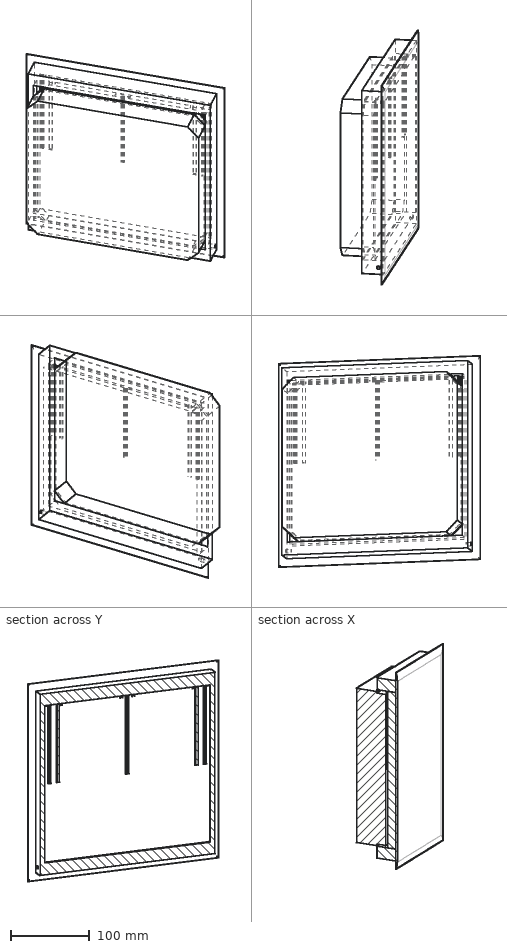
import cadquery as cq


COVER_SIZE = 263.0
COVER_THICKNESS = 3.0
COVER_EDGE = 0.8
RIM_WIDTH = 10.5

FRAME_SIZE = 242.0
FRAME_DEPTH = 27.0
OPENING_WIDTH = 228.0
OPENING_HEIGHT = 208.8

OVERALL_DEPTH = 59.0
HOUSING_TOP_GAP = 1.8
CORNER_CUT = 14.5
NECK_INSET = 2.0

GRILLE_DEPTH = 11.8
NOTCH_WIDTH = 8.2
NOTCH_HEIGHT = 1.0

RIB_HEIGHT = 2.0
RIB_LENGTH = OPENING_HEIGHT / 2
THIN_RIB_WIDTH = 1.3
THIN_RIB_OFFSETS = (1.5, 105.7, 108.5)
WIDE_RIB_WIDTH = 4.0
WIDE_RIB_OFFSET = 95.7

CATCH_WIDTH = 3.7
CATCH_HEIGHT = 2.0
CATCH_OFFSETS = (8.2, 91.8)

PIN_DIAMETER = 4.2
PIN_DEPTH_FROM_COVER = 5.5
PIN_Z = -112.0

GRILLE_FRONT = -GRILLE_DEPTH
RIB_FRONT = GRILLE_FRONT - RIB_HEIGHT
HOUSING_HEIGHT = OPENING_HEIGHT - HOUSING_TOP_GAP
OPENING_TOP = OPENING_HEIGHT / 2
PIN_LENGTH = (FRAME_SIZE - OPENING_WIDTH) / 2


def block(width, height, front, back, z=0.0, x=0.0):
    """Box between the planes Y = front and Y = back, centred on x and z."""
    return cq.Workplane("XY").box(width, back - front, height).translate((x, (front + back) / 2, z))


def rounded_bar():
    """Bar along Z with the cover's cross-section: flat front face, thin edges, rounded rims."""
    half = COVER_SIZE / 2
    flat = half - RIM_WIDTH
    drop = COVER_THICKNESS - COVER_EDGE
    radius = (RIM_WIDTH**2 + drop**2) / (2 * drop)
    return (
        cq.Workplane("XY")
        .moveTo(-half, 0)
        .lineTo(half, 0)
        .lineTo(half, COVER_EDGE)
        .radiusArc((flat, COVER_THICKNESS), -radius)
        .lineTo(-flat, COVER_THICKNESS)
        .radiusArc((-half, COVER_EDGE), -radius)
        .close()
        .extrude(half, both=True)
    )


def make_cover():
    """Square plate where an upright and a lying rounded bar coincide."""
    upright = rounded_bar()
    lying = upright.rotate((0, 0, 0), (0, 1, 0), 90)
    return upright.intersect(lying)


def make_pin(side):
    """Pin along X, reaching inward from the frame side; side is -1 or +1."""
    outer_x = side * FRAME_SIZE / 2
    return (
        cq.Workplane("YZ", origin=(outer_x, 0, 0))
        .center(-PIN_DEPTH_FROM_COVER, PIN_Z)
        .circle(PIN_DIAMETER / 2)
        .extrude(-side * PIN_LENGTH)
    )


def make_frame(pins):
    """Frame ring with a blind hole for each pin."""
    ring = block(FRAME_SIZE, FRAME_SIZE, -FRAME_DEPTH, 0)
    ring = ring.cut(block(OPENING_WIDTH, OPENING_HEIGHT, -FRAME_DEPTH, 0))
    for hinge_pin in pins:
        ring = ring.cut(hinge_pin)
    return ring


def cut_corner_block(width, height, front, back):
    """Housing section: a block with its four corners cut, centred on the housing height."""
    section = block(width, height, front, back, z=-HOUSING_TOP_GAP / 2)
    return section.edges("|Y").chamfer(CORNER_CUT)


def make_housing():
    """Body that ends flush with the frame front, and a neck that reaches back to the ribs."""
    body = cut_corner_block(
        OPENING_WIDTH, HOUSING_HEIGHT, COVER_THICKNESS - OVERALL_DEPTH, -FRAME_DEPTH
    )
    neck = cut_corner_block(
        OPENING_WIDTH - 2 * NECK_INSET, HOUSING_HEIGHT - 2 * NECK_INSET, -FRAME_DEPTH, RIB_FRONT
    )
    return body.union(neck)


def make_rib(x, width):
    """Upright rib on the grille front, hanging from the top of the opening."""
    return block(width, RIB_LENGTH, RIB_FRONT, GRILLE_FRONT, z=OPENING_TOP - RIB_LENGTH / 2, x=x)


def make_catch(x):
    """Small wedge at the top of the grille, its sloped face looking up and outward."""
    return (
        cq.Workplane("YZ", origin=(x - CATCH_WIDTH / 2, 0, 0))
        .moveTo(GRILLE_FRONT, OPENING_TOP)
        .lineTo(RIB_FRONT, OPENING_TOP - CATCH_HEIGHT)
        .lineTo(GRILLE_FRONT, OPENING_TOP - CATCH_HEIGHT)
        .close()
        .extrude(CATCH_WIDTH)
    )


def make_corner_notch(side):
    """Volume removed from one upper corner of the grille; side is -1 or +1."""
    return block(
        NOTCH_WIDTH,
        NOTCH_HEIGHT,
        RIB_FRONT,
        0,
        z=OPENING_TOP - NOTCH_HEIGHT / 2,
        x=side * (OPENING_WIDTH - NOTCH_WIDTH) / 2,
    )


def make_grille():
    """Panel against the cover with its ribs, catches and corner notches."""
    panel = block(OPENING_WIDTH, OPENING_HEIGHT, GRILLE_FRONT, 0)
    for side in (-1, 1):
        for offset in THIN_RIB_OFFSETS:
            panel = panel.union(make_rib(side * offset, THIN_RIB_WIDTH))
        panel = panel.union(make_rib(side * WIDE_RIB_OFFSET, WIDE_RIB_WIDTH))
        for offset in CATCH_OFFSETS:
            panel = panel.union(make_catch(side * offset))
        panel = panel.cut(make_corner_notch(side))
    return panel


cover = make_cover()
hinge_pins = [make_pin(side) for side in (-1, 1)]
frame = make_frame(hinge_pins)
housing = make_housing()
grille = make_grille()

result = cq.Compound.makeCompound(
    [
        cover.val(),
        frame.val(),
        housing.val(),
        grille.val(),
        *[hinge_pin.val() for hinge_pin in hinge_pins],
    ]
)